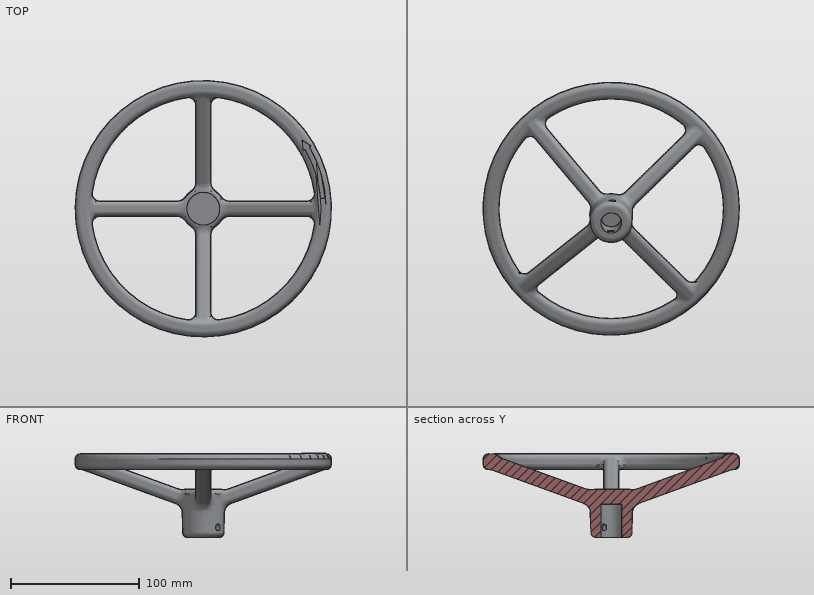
import cadquery as cq
import math

total_height = 66.0
arrow_relief = 0.6
rim_top = total_height - arrow_relief
rim_outer_radius = 100.0
rim_width = 12.5
rim_height = 12.4
rim_corner_radius = 4.2
rim_seam_angle = 45.0
rim_mid_radius = rim_outer_radius - rim_width / 2
rim_mid_z = rim_top - rim_height / 2

hub_bottom_radius = 16.1
hub_height = 38.0
hub_draft_angle = 1.2
hub_top_radius = hub_bottom_radius + hub_height * math.tan(math.radians(hub_draft_angle))
hub_edge_radius = 4.0

spoke_count = 4
spoke_slope_angle = 20.0
spoke_width = 11.9
spoke_thickness = 11.5
spoke_drop = 0.3
spoke_corner_radius = 3.9
hub_blend_radius = 8.0
rim_blend_radius = 6.0

hub_seam_limit = 20.0
rim_seam_limit = 60.0

bore_diameter = 16.0
bore_depth = 26.0
pin_hole_diameter = 5.0
pin_hole_z = 8.0
pin_hole_direction_angle = -45.0

arrow_start_angle = 5.0
arrow_neck_angle = 30.2
arrow_tip_angle = 34.8
arrow_shaft_width = 4.0
arrow_head_width = 7.0


def make_rim():
    section = (
        cq.Sketch()
        .rect(rim_width, rim_height)
        .vertices()
        .fillet(rim_corner_radius)
    )
    return (
        cq.Workplane("XZ", origin=(rim_mid_radius, 0, rim_mid_z))
        .placeSketch(section)
        .revolve(360, (-rim_mid_radius, 0, 0), (-rim_mid_radius, 1, 0))
        .rotate((0, 0, 0), (0, 0, 1), rim_seam_angle)
    )


def make_hub():
    return (
        cq.Workplane("XY")
        .circle(hub_bottom_radius)
        .extrude(hub_height, taper=-hub_draft_angle)
        .faces("<Z or >Z")
        .edges()
        .fillet(hub_edge_radius)
    )


def make_spoke(direction_angle):
    slope = math.radians(spoke_slope_angle)
    axis_z = rim_mid_z - spoke_drop - rim_mid_radius * math.tan(slope)
    length = rim_mid_radius / math.cos(slope)
    section_plane = cq.Plane(
        origin=(0, 0, axis_z),
        xDir=(0, 1, 0),
        normal=(math.cos(slope), 0, math.sin(slope)),
    )
    section = (
        cq.Sketch()
        .rect(spoke_width, spoke_thickness)
        .vertices()
        .fillet(spoke_corner_radius)
    )
    bar = cq.Workplane(section_plane).placeSketch(section).extrude(length)
    return bar.rotate((0, 0, 0), (0, 0, 1), direction_angle)


def is_free_curve(edge):
    return edge.geomType() not in ("CIRCLE", "LINE")


def axis_distance(edge):
    center = edge.Center()
    return math.hypot(center.x, center.y)


def add_spokes(hub):
    """Join the spokes to the hub and blend the seams where they meet."""
    body = hub
    for index in range(spoke_count):
        body = body.union(make_spoke(index * 360 / spoke_count))
    seams = [
        edge for edge in body.edges().vals()
        if is_free_curve(edge) and axis_distance(edge) < hub_seam_limit
    ]
    return body.newObject(seams).fillet(hub_blend_radius)


def add_rim(hub_with_spokes):
    """Join the rim to the spokes and blend the seams where they meet."""
    body = hub_with_spokes.union(make_rim())
    seams = [
        edge for edge in body.edges().vals()
        if is_free_curve(edge) and axis_distance(edge) > rim_seam_limit
    ]
    return body.newObject(seams).fillet(rim_blend_radius)


def ring_point(radius, angle):
    return (radius * math.cos(math.radians(angle)), radius * math.sin(math.radians(angle)))


def make_arrow():
    """Arrow bent around the rim, reaching down into the rim section."""
    inner_radius = rim_mid_radius - arrow_shaft_width / 2
    outer_radius = rim_mid_radius + arrow_shaft_width / 2
    middle_angle = (arrow_start_angle + arrow_neck_angle) / 2
    return (
        cq.Workplane("XY", origin=(0, 0, rim_mid_z))
        .moveTo(*ring_point(inner_radius, arrow_start_angle))
        .lineTo(*ring_point(outer_radius, arrow_start_angle))
        .threePointArc(
            ring_point(outer_radius, middle_angle), ring_point(outer_radius, arrow_neck_angle)
        )
        .lineTo(*ring_point(rim_mid_radius + arrow_head_width / 2, arrow_neck_angle))
        .lineTo(*ring_point(rim_mid_radius, arrow_tip_angle))
        .lineTo(*ring_point(rim_mid_radius - arrow_head_width / 2, arrow_neck_angle))
        .lineTo(*ring_point(inner_radius, arrow_neck_angle))
        .threePointArc(
            ring_point(inner_radius, middle_angle), ring_point(inner_radius, arrow_start_angle)
        )
        .close()
        .extrude(total_height - rim_mid_z)
    )


def make_bore():
    return cq.Workplane("XY").circle(bore_diameter / 2).extrude(bore_depth)


def make_pin_hole():
    """Cross hole that passes through both walls of the hub."""
    length = 4 * hub_top_radius
    return (
        cq.Workplane("YZ", origin=(-length / 2, 0, pin_hole_z))
        .circle(pin_hole_diameter / 2)
        .extrude(length)
        .rotate((0, 0, 0), (0, 0, 1), pin_hole_direction_angle)
    )


wheel = add_rim(add_spokes(make_hub()))
wheel = wheel.union(make_arrow()).cut(make_bore()).cut(make_pin_hole())
result = wheel.solids()